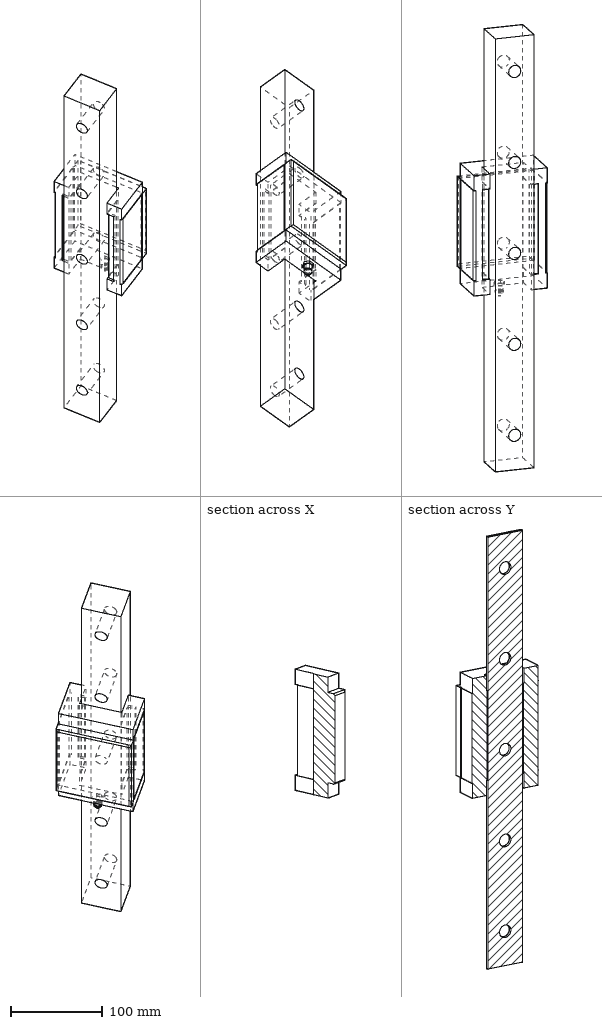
import cadquery as cq

rail_length = 500.0
rail_width = 45.0
rail_height = 38.0
hole_diameter = 14.0
hole_pitch = 105.0
hole_count = 5

block_width = 86.0
cap_width = 85.0
carriage_top = 70.0
carriage_bottom = 13.5
carriage_centre_z = 20.5
cap_top = 60.0
block_length = 104.0
cap_length = 17.5
carriage_length = block_length + 2 * cap_length
cap_clearance = 1.5
block_clearance = 1.0
cap_half_channel = rail_width / 2 + cap_clearance
block_half_channel = rail_width / 2 + block_clearance
channel_top = rail_height + cap_clearance

top_chamfer = 2.0
bottom_chamfer = 2.5
side_groove_y = 58.0
side_groove_width = 2.0
side_groove_depth = 1.0
recess_outer_x = 32.5
recess_depth = 2.5
inner_chamfer = 1.5

nipple_y = 51.5
nipple_hex_corners = 12.0
nipple_hex_height = 3.0
neck_radius = 4.5
neck_length = 6.5
neck_bulge = 0.5
waist_radius = 3.5
head_radius = 4.5
head_flare = 0.5
head_band = 1.5
tip_radius = 1.5
tip_drop = 4.5


def prism(points, length, centre_z):
    """Extrude a closed XY outline along Z, centred on centre_z."""
    base = cq.Workplane("XY", origin=(0, 0, centre_z - length / 2))
    return base.polyline(points).close().extrude(length)


def make_rail():
    rail = cq.Workplane("XY").box(rail_width, rail_height, rail_length, centered=(True, False, True))
    holes = (
        cq.Workplane("XZ")
        .rarray(5, hole_pitch, 1, hole_count)
        .circle(hole_diameter / 2)
        .extrude(-rail_height)
    )
    return rail.cut(holes)


def mirrored_outline(right_half):
    """Complete a right-hand outline with its mirror image across X = 0."""
    left_half = [(-x, y) for x, y in reversed(right_half)]
    return right_half + left_half


def make_end_caps():
    """Both end caps as one straddling prism with the space for the block cut out."""
    half_width = cap_width / 2
    cap_half = [
        (cap_half_channel, channel_top),
        (cap_half_channel, carriage_bottom),
        (half_width, carriage_bottom),
        (half_width, cap_top),
    ]
    block_space = cq.Workplane("XY", origin=(0, carriage_top / 2, carriage_centre_z)).box(
        2 * block_width, 2 * carriage_top, block_length
    )
    return prism(mirrored_outline(cap_half), carriage_length, carriage_centre_z).cut(block_space)


def make_block():
    """Steel block with recessed sealing strips, a V groove along each side and a chamfered top."""
    half_width = block_width / 2
    recess_floor = carriage_bottom + recess_depth
    block_half = [
        (block_half_channel, channel_top),
        (block_half_channel, recess_floor + inner_chamfer),
        (block_half_channel + inner_chamfer, recess_floor),
        (recess_outer_x, recess_floor),
        (recess_outer_x, carriage_bottom),
        (half_width - bottom_chamfer, carriage_bottom),
        (half_width, carriage_bottom + bottom_chamfer),
        (half_width, side_groove_y - side_groove_width / 2),
        (half_width - side_groove_depth, side_groove_y),
        (half_width, side_groove_y + side_groove_width / 2),
        (half_width, carriage_top),
    ]
    block = prism(mirrored_outline(block_half), block_length, carriage_centre_z)
    return block.faces(">Y").chamfer(top_chamfer)


def make_carriage():
    return make_end_caps().union(make_block())


def make_nipple():
    """Hexagonal collar with a turned neck, waist and tapered head hanging below it."""
    seat_z = carriage_centre_z - carriage_length / 2
    collar = (
        cq.Workplane("XY", origin=(0, nipple_y, seat_z))
        .polygon(6, nipple_hex_corners)
        .extrude(-nipple_hex_height)
    )
    waist_z = -neck_length
    neck_mid_radius = (neck_radius + waist_radius) / 2 + neck_bulge
    head_top_z = waist_z - head_flare
    head_bottom_z = head_top_z - head_band
    tip_z = head_bottom_z - tip_drop
    stem = (
        cq.Workplane("XZ", origin=(0, nipple_y, seat_z - nipple_hex_height))
        .lineTo(-neck_radius, 0)
        .threePointArc((-neck_mid_radius, waist_z / 2), (-waist_radius, waist_z))
        .lineTo(-head_radius, head_top_z)
        .lineTo(-head_radius, head_bottom_z)
        .lineTo(-tip_radius, tip_z)
        .lineTo(0, tip_z)
        .close()
        .revolve(360, (0, 0), (0, 1))
    )
    return collar.union(stem)


rail = make_rail()
carriage = make_carriage()
nipple = make_nipple()
result = cq.Compound.makeCompound([rail.val(), carriage.val(), nipple.val()])